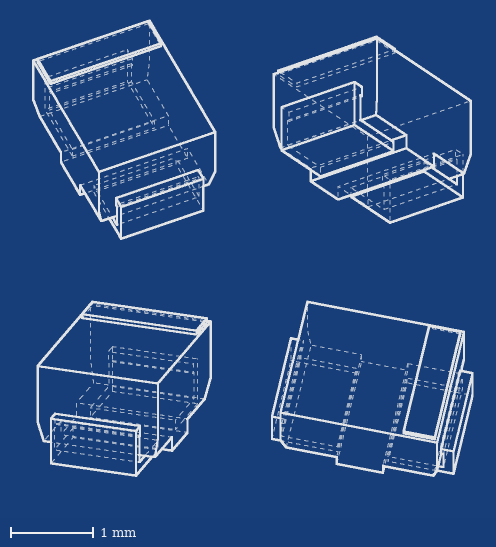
import cadquery as cq

overall_length = 2.26
overall_height = 1.25

housing_length = 1.948
housing_width = 1.55
taper_inset = 0.059
taper_top_z = 0.457
taper_bottom_z = 0.18
foot_length = 0.575

marker_height = 0.052
marker_length = 0.389
marker_margin = 0.038
housing_top_z = overall_height - marker_height

lead_width = 1.095
lead_thickness = 0.127
lead_height = 0.597
lead_foot_length = 0.814


def make_housing():
    """Block tapering inward below, standing on a foot as wide as its underside."""
    underside_length = housing_length - 2 * taper_inset
    underside_width = housing_width - 2 * taper_inset
    block = (
        cq.Workplane("XY", origin=(0, 0, taper_top_z))
        .rect(housing_length, housing_width)
        .extrude(housing_top_z - taper_top_z)
    )
    taper = (
        cq.Workplane("XY", origin=(0, 0, taper_bottom_z))
        .rect(underside_length, underside_width)
        .workplane(offset=taper_top_z - taper_bottom_z)
        .rect(housing_length, housing_width)
        .loft(ruled=True)
    )
    foot = cq.Workplane("XY").rect(foot_length, underside_width).extrude(taper_bottom_z)
    return block.union(taper).union(foot)


def make_marker():
    """Thin bar along the -X edge of the housing top."""
    marker_width = housing_width - 2 * marker_margin
    center_x = -housing_length / 2 + marker_margin + marker_length / 2
    return (
        cq.Workplane("XY", origin=(center_x, 0, housing_top_z))
        .rect(marker_length, marker_width)
        .extrude(marker_height)
    )


def make_lead(side):
    """C-shaped lead on the -X (side = -1) or +X (side = 1) end of the housing."""
    outer_x = side * overall_length / 2
    inner_x = side * (overall_length / 2 - lead_thickness)
    foot_end_x = side * (overall_length / 2 - lead_foot_length)
    housing_face_x = side * housing_length / 2
    profile = [
        (outer_x, 0),
        (outer_x, lead_height),
        (housing_face_x, lead_height),
        (housing_face_x, lead_height - lead_thickness),
        (inner_x, lead_height - lead_thickness),
        (inner_x, lead_thickness),
        (foot_end_x, lead_thickness),
        (foot_end_x, 0),
    ]
    return cq.Workplane("XZ").polyline(profile).close().extrude(lead_width / 2, both=True)


housing = make_housing()
marker = make_marker()
leads = [make_lead(side) for side in (-1, 1)]

result = cq.Compound.makeCompound([housing.val(), marker.val(), *[lead.val() for lead in leads]])